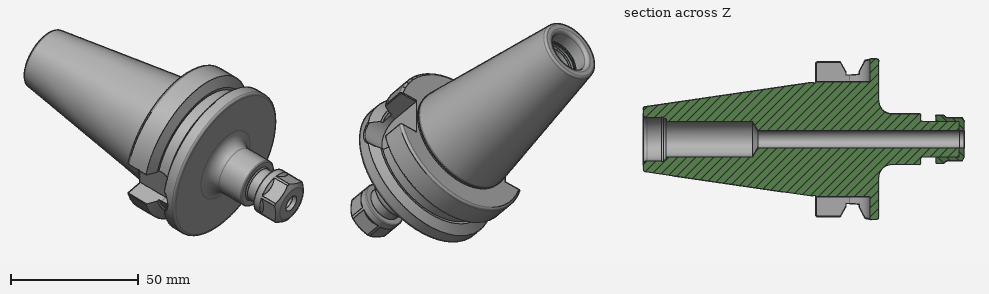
import cadquery as cq
import math

total_length = 125.8

taper_length = 65.8
taper_ratio = 7 / 24
taper_large_diameter = 44.5
taper_small_diameter = taper_large_diameter - taper_ratio * taper_length
land_end = 66.4
neck_start = 66.8
neck_diameter = 44.2
shank_end_fillet = 1.0

flange_start = 67.4
flange_end = 92.3
flange_diameter = 63.0
flange_edge_fillet = 1.0
groove_centre = 82.0
groove_mouth_width = 9.8
groove_floor_width = 5.2
groove_floor_diameter = 53.0
groove_side_angle = 60

slot_width = 16.1
slot_floor_distance = 22.5
slot_end = 88.8
slot_chamfer = 0.4

nose_diameter = 20.0
nose_end = 108.7
nose_root_fillet = 5.0
nose_edge_fillet = 0.5
spindle_diameter = 14.0
spindle_root_diameter = 14.8
spindle_root_length = 0.6

pilot_diameter = 17.0
pilot_depth = 7.2
pilot_mouth_fillet = 1.5
relief_diameter = 17.4
relief_depth = 7.9
step_diameter = 16.2
step_depth = 9.0
thread_bore_diameter = 13.8
thread_bore_depth = 42.8
through_diameter = 6.7
drill_point_angle = 118

nut_start = 114.5
nut_diameter = 19.0
nut_collar_end = 117.6
nut_collar_fillet = 0.4
hex_sides = 6
hex_across_flats = 17.0
hex_start_angle = 40
nut_tip_diameter = 14.0
nut_tip_fillet = 0.4
nut_tip_angle = 60
nut_wall = 2.0
spindle_end = total_length - nut_wall

tolerance = 0.01


def slope_length(radial_drop, angle):
    """Axial length over which a cone at this angle from the axis makes the radial drop."""
    return radial_drop / math.tan(math.radians(angle))


def revolve_about_x(profile):
    """Turn a closed profile drawn in X and Y (Y = radius) about the X axis."""
    return profile.close().revolve(360, (0, 0, 0), (1, 0, 0))


def cylinder_along_x(diameter, start, end):
    return cq.Workplane("YZ").workplane(offset=start).circle(diameter / 2).extrude(end - start)


def make_holder_outside():
    flange_radius = flange_diameter / 2
    nose_radius = nose_diameter / 2
    mouth_start = groove_centre - groove_mouth_width / 2
    mouth_end = groove_centre + groove_mouth_width / 2
    floor_start = groove_centre - groove_floor_width / 2
    floor_end = groove_centre + groove_floor_width / 2
    side_length = (groove_mouth_width - groove_floor_width) / 2
    side_bottom_radius = flange_radius - side_length * math.tan(math.radians(groove_side_angle))
    fillet_middle = nose_root_fillet * (1 - math.sqrt(0.5))
    profile = (
        cq.Workplane("XY")
        .moveTo(0, 0)
        .lineTo(0, taper_small_diameter / 2)
        .lineTo(taper_length, taper_large_diameter / 2)
        .lineTo(land_end, taper_large_diameter / 2)
        .lineTo(neck_start, neck_diameter / 2)
        .lineTo(flange_start, neck_diameter / 2)
        .lineTo(flange_start, flange_radius)
        .lineTo(mouth_start, flange_radius)
        .lineTo(floor_start, side_bottom_radius)
        .lineTo(floor_start, groove_floor_diameter / 2)
        .lineTo(floor_end, groove_floor_diameter / 2)
        .lineTo(floor_end, side_bottom_radius)
        .lineTo(mouth_end, flange_radius)
        .lineTo(flange_end, flange_radius)
        .lineTo(flange_end, nose_radius + nose_root_fillet)
        .threePointArc(
            (flange_end + fillet_middle, nose_radius + fillet_middle),
            (flange_end + nose_root_fillet, nose_radius),
        )
        .lineTo(nose_end, nose_radius)
        .lineTo(nose_end, spindle_root_diameter / 2)
        .lineTo(nose_end + spindle_root_length, spindle_diameter / 2)
        .lineTo(spindle_end, spindle_diameter / 2)
        .lineTo(spindle_end, 0)
    )
    body = revolve_about_x(profile)
    body = round_edge(body, 0, taper_small_diameter / 2, shank_end_fillet)
    body = round_edge(body, flange_start, flange_radius, flange_edge_fillet)
    body = round_edge(body, flange_end, flange_radius, flange_edge_fillet)
    return round_edge(body, nose_end, nose_radius, nose_edge_fillet)


def round_edge(body, position, radius, fillet):
    """Fillet the circular edge of this radius that lies at this X position."""
    edge_box = cq.selectors.BoxSelector(
        (position - tolerance, -radius - tolerance, -radius - tolerance),
        (position + tolerance, radius + tolerance, radius + tolerance),
        boundingbox=True,
    )
    edges = body.edges(edge_box).edges(cq.selectors.RadiusNthSelector(-1))
    return body.newObject(edges.vals()).fillet(fillet)


def make_bore():
    drill_point_length = slope_length(
        (thread_bore_diameter - through_diameter) / 2, drill_point_angle / 2
    )
    profile = (
        cq.Workplane("XY")
        .moveTo(0, 0)
        .lineTo(0, pilot_diameter / 2 + pilot_mouth_fillet)
        .radiusArc((pilot_mouth_fillet, pilot_diameter / 2), -pilot_mouth_fillet)
        .lineTo(pilot_depth, pilot_diameter / 2)
        .lineTo(pilot_depth, relief_diameter / 2)
        .lineTo(relief_depth, relief_diameter / 2)
        .lineTo(relief_depth, step_diameter / 2)
        .lineTo(step_depth, step_diameter / 2)
        .lineTo(step_depth, thread_bore_diameter / 2)
        .lineTo(thread_bore_depth, thread_bore_diameter / 2)
        .lineTo(thread_bore_depth + drill_point_length, through_diameter / 2)
        .lineTo(spindle_end, through_diameter / 2)
        .lineTo(spindle_end, 0)
    )
    return revolve_about_x(profile)


def make_drive_slot(side):
    """Round-ended slot cutter on the side of the axis given by the sign of Y."""
    slot_radius = slot_width / 2
    slot_depth = flange_diameter / 2 - slot_floor_distance
    round_centre = slot_end - slot_radius
    outline = (
        cq.Workplane("XZ", origin=(0, side * slot_floor_distance, 0))
        .moveTo(flange_start, -slot_radius)
        .lineTo(round_centre, -slot_radius)
        .threePointArc((slot_end, 0), (round_centre, slot_radius))
        .lineTo(flange_start, slot_radius)
        .close()
    )
    return outline.extrude(-side * slot_depth)


def make_holder():
    body = make_holder_outside().cut(make_bore())
    for side in (-1, 1):
        body = body.cut(make_drive_slot(side))
    return chamfer_slot_rims(body)


def chamfer_slot_rims(body):
    """Break the slot edges on the flange face and around the round slot ends.

    The chamfer on the face follows the tangent slot edge onto the outer diameter.
    """
    flange_radius = flange_diameter / 2

    def is_face_rim(edge):
        middle = edge.Center()
        on_face = abs(middle.x - flange_start) < tolerance
        on_wall = abs(abs(middle.z) - slot_width / 2) < tolerance
        return edge.geomType() == "LINE" and on_face and on_wall

    def is_round_end_rim(edge):
        ends = (edge.startPoint(), edge.endPoint())
        on_outside = all(math.hypot(p.y, p.z) > flange_radius - tolerance for p in ends)
        return edge.geomType() == "BSPLINE" and on_outside

    rims = [edge for edge in body.edges().vals() if is_face_rim(edge) or is_round_end_rim(edge)]
    return body.newObject(rims).chamfer(slot_chamfer)


def make_nut():
    nut_radius = nut_diameter / 2
    flat_radius = hex_across_flats / 2
    cone_end = nut_collar_end + slope_length(nut_radius - flat_radius, hex_start_angle)
    tip_start = total_length - slope_length((nut_diameter - nut_tip_diameter) / 2, nut_tip_angle)

    collar = revolve_about_x(
        cq.Workplane("XY")
        .moveTo(nut_start, 0)
        .lineTo(nut_start, nut_radius)
        .lineTo(nut_collar_end, nut_radius)
        .lineTo(cone_end, flat_radius)
        .lineTo(cone_end, 0)
    )
    collar = round_edge(collar, nut_start, nut_radius, nut_collar_fillet)

    hex_half_corner = 180 / hex_sides
    hex_corner_diameter = hex_across_flats / math.cos(math.radians(hex_half_corner))
    hexagon = (
        cq.Workplane("YZ", origin=(nut_collar_end, 0, 0))
        .transformed(rotate=(0, 0, hex_half_corner))
        .polygon(hex_sides, hex_corner_diameter)
        .extrude(total_length - nut_collar_end)
    )
    trim = revolve_about_x(
        cq.Workplane("XY")
        .moveTo(nut_collar_end, 0)
        .lineTo(nut_collar_end, nut_radius)
        .lineTo(tip_start, nut_radius)
        .lineTo(total_length, nut_tip_diameter / 2)
        .lineTo(total_length, 0)
    )
    trim = round_edge(trim, total_length, nut_tip_diameter / 2, nut_tip_fillet)
    spindle_bore = cylinder_along_x(spindle_diameter, nut_start, spindle_end)
    front_hole = cylinder_along_x(through_diameter, nut_start, total_length)
    return collar.union(hexagon.intersect(trim)).cut(spindle_bore).cut(front_hole)


holder = make_holder()
nut = make_nut()
result = cq.Compound.makeCompound([holder.solids().val(), nut.solids().val()])